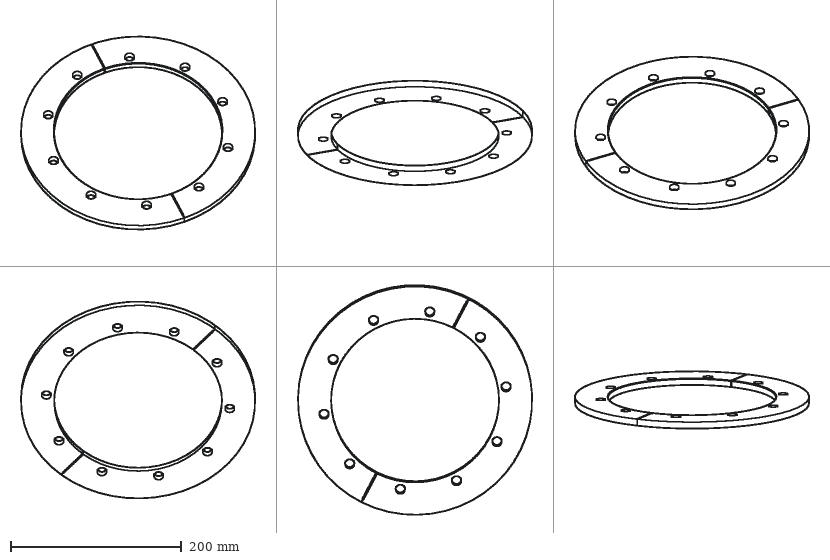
import cadquery as cq

outer_radius = 137.3
bore_radius = 98.3
thickness = 8.0
bore_chamfer = 0.8

hole_count = 10
bolt_circle_radius = 108.0
hole_diameter = 11.0
first_hole_angle = 90.0

slit_width = 1.5
slit_tip_length = 4.5
slit_overrun = 2.7
outer_web = 0.3


def make_ring():
    ring = cq.Workplane("XY").circle(outer_radius).circle(bore_radius).extrude(thickness)
    bore_edge = ring.faces(">Z").edges(cq.selectors.RadiusNthSelector(0))
    return bore_edge.chamfer(bore_chamfer)


def make_bolt_holes():
    hole_angle_span = 360.0
    return (
        cq.Workplane("XY")
        .polarArray(bolt_circle_radius, first_hole_angle, hole_angle_span, hole_count)
        .circle(hole_diameter / 2)
        .extrude(thickness)
    )


def make_slit(side):
    """Through-cut slit on the +X (side=1) or -X (side=-1) half of the ring."""
    tip_x = side * (outer_radius - outer_web)
    shoulder_x = side * (outer_radius - outer_web - slit_tip_length)
    start_x = side * (bore_radius - slit_overrun)
    half_width = slit_width / 2
    outline = [
        (start_x, -half_width),
        (shoulder_x, -half_width),
        (tip_x, 0),
        (shoulder_x, half_width),
        (start_x, half_width),
    ]
    return cq.Workplane("XY").polyline(outline).close().extrude(thickness)


result = make_ring().cut(make_bolt_holes())
for side in (-1, 1):
    result = result.cut(make_slit(side))